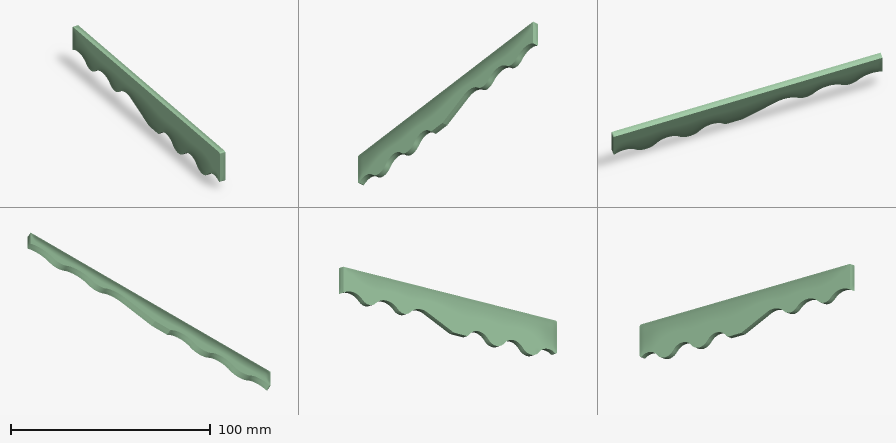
import cadquery as cq
import math

length = 142.5
height = 21.1
thickness = 3.1
corner_radius = 0.7

pitch = 23.2

shallow_first_crest_x = 5.7
shallow_crest_depth = 12.0
shallow_lobe_depth = 16.5
shallow_arch_radius = 10.8

deep_first_crest_x = 90.5
deep_crest_depth = 15.8
deep_lobe_depth = height
deep_arch_radius = 8.3

step_start_x = 73.8
step_depth = 19.8


def lobe_geometry(crest_depth, lobe_depth, arch_radius):
    """Radius of a lobe tangent to its arches, and the angle at which they meet."""
    half_pitch = pitch / 2
    meeting_angle = 2 * math.atan((lobe_depth - crest_depth) / half_pitch)
    lobe_radius = half_pitch / math.sin(meeting_angle) - arch_radius
    return lobe_radius, meeting_angle


def arch_point(crest_x, crest_depth, radius, angle):
    """Point on an arch at a signed angle from its crest."""
    return (crest_x + radius * math.sin(angle),
            -crest_depth - radius * (1 - math.cos(angle)))


def add_lobes(outline, first_crest_x, crest_depth, lobe_depth, arch_radius):
    """Draw from the first arch, through two lobes, to the crest of the third arch."""
    meeting_angle = lobe_geometry(crest_depth, lobe_depth, arch_radius)[1]
    for index in range(2):
        crest_x = first_crest_x + index * pitch
        next_crest_x = crest_x + pitch
        arch_end = arch_point(crest_x, crest_depth, arch_radius, meeting_angle)
        lobe_end = arch_point(next_crest_x, crest_depth, arch_radius, -meeting_angle)
        outline = outline.threePointArc((crest_x, -crest_depth), arch_end)
        outline = outline.threePointArc((crest_x + pitch / 2, -lobe_depth), lobe_end)
    return outline


left_angle = -math.asin(shallow_first_crest_x / shallow_arch_radius)
left_end = arch_point(shallow_first_crest_x, shallow_crest_depth, shallow_arch_radius, left_angle)

shallow_last_crest_x = shallow_first_crest_x + 2 * pitch
to_step_x = step_start_x - shallow_last_crest_x
to_step_drop = step_depth - shallow_crest_depth - shallow_arch_radius
to_step_distance = math.hypot(to_step_x, to_step_drop)
slope_angle = math.asin(shallow_arch_radius / to_step_distance) + math.atan2(to_step_drop, to_step_x)
slope_start = arch_point(shallow_last_crest_x, shallow_crest_depth, shallow_arch_radius, slope_angle)

deep_lobe_radius, deep_angle = lobe_geometry(deep_crest_depth, deep_lobe_depth, deep_arch_radius)
cut_rise = deep_lobe_radius - (deep_lobe_depth - step_depth)
cut_half_width = math.sqrt(deep_lobe_radius**2 - cut_rise**2)
cut_lobe_x = deep_first_crest_x - pitch / 2
step_end = (cut_lobe_x + cut_half_width, -step_depth)
cut_lobe_end = arch_point(deep_first_crest_x, deep_crest_depth, deep_arch_radius, -deep_angle)
cut_lobe_center_z = deep_lobe_radius - deep_lobe_depth
cut_lobe_middle_angle = (math.acos(cut_rise / deep_lobe_radius) + deep_angle) / 2
cut_lobe_middle = (cut_lobe_x + deep_lobe_radius * math.sin(cut_lobe_middle_angle),
                   cut_lobe_center_z - deep_lobe_radius * math.cos(cut_lobe_middle_angle))

deep_last_crest_x = deep_first_crest_x + 2 * pitch
right_angle = math.asin((length - deep_last_crest_x) / deep_arch_radius)
right_end = arch_point(deep_last_crest_x, deep_crest_depth, deep_arch_radius, right_angle)

outline = cq.Workplane("XZ").lineTo(*left_end)
outline = add_lobes(outline, shallow_first_crest_x, shallow_crest_depth,
                    shallow_lobe_depth, shallow_arch_radius)
outline = outline.threePointArc((shallow_last_crest_x, -shallow_crest_depth), slope_start)
outline = outline.lineTo(step_start_x, -step_depth).lineTo(*step_end)
outline = outline.threePointArc(cut_lobe_middle, cut_lobe_end)
outline = add_lobes(outline, deep_first_crest_x, deep_crest_depth,
                    deep_lobe_depth, deep_arch_radius)
outline = outline.threePointArc((deep_last_crest_x, -deep_crest_depth), right_end)
outline = outline.lineTo(length, 0).close()

plate = outline.extrude(thickness)
result = plate.edges("|Y and >X").fillet(corner_radius)